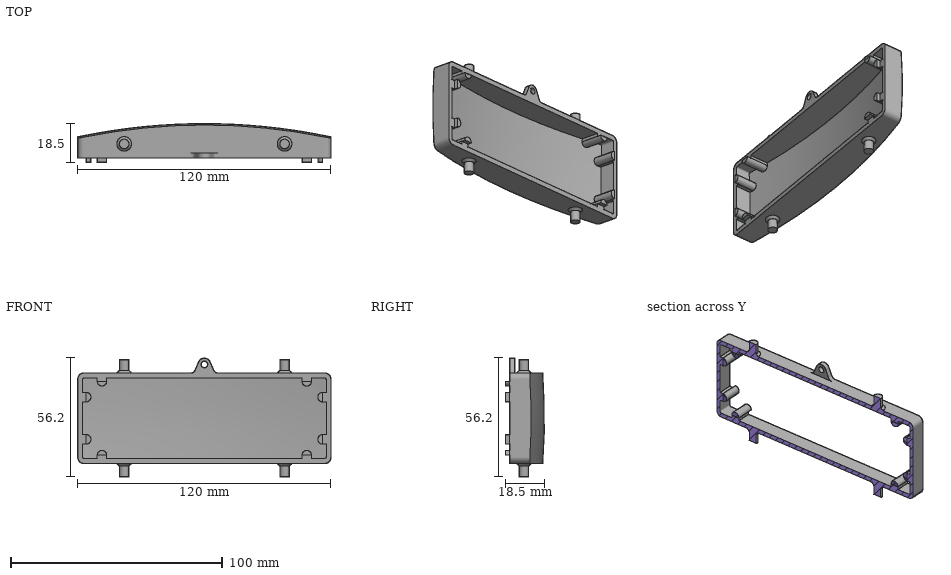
import cadquery as cq
import math

LENGTH = 120.0
HEIGHT = 43.0
DEPTH = 16.5
CORNER_RADIUS = 3.0
DOME_RADIUS = 288.0
DOME_CENTRE_Y = DEPTH - DOME_RADIUS

END_WALL = 2.25
SIDE_WALL = 2.5
BACK_WALL = 2.4
CAVITY_LENGTH = LENGTH - 2 * END_WALL
CAVITY_HEIGHT = HEIGHT - 2 * SIDE_WALL
CAVITY_CORNER_RADIUS = CORNER_RADIUS - END_WALL

POST_RADIUS = 2.25
POST_PROTRUSION = 2.0
END_PAD = 1.75
SIDE_PAD = 1.5
END_POST_Z = 10.0
SIDE_POST_X = 48.5

ROOT_DEPTH = SIDE_WALL / 2

PEG_DIAMETER = 4.52
PEG_LENGTH = 6.24
PEG_FLARE = 1.2
PEG_X = 38.0
PEG_Y = 6.75

LUG_THICKNESS = 2.5
LUG_RADIUS = 3.0
LUG_HOLE_DIAMETER = 3.0
LUG_HOLE_RISE = 4.0
LUG_HALF_BASE = 5.0
LUG_ROOT_FILLET = 2.0


def domed_block(length, height, corner_radius, dome_radius, front_y=0.0):
    """Rounded rectangular block from the plane Y = front_y back to the spherical dome."""
    block = (
        cq.Workplane("XZ", origin=(0, front_y, 0))
        .rect(length, height)
        .extrude(front_y - DEPTH)
        .edges("|Y")
        .fillet(corner_radius)
    )
    dome = cq.Workplane("XY").sphere(dome_radius).translate((0, DOME_CENTRE_Y, 0))
    return block.intersect(dome)


def cavity_block(front_y=0.0):
    """Inside space of the cover, concentric with the domed back."""
    inner_radius = DOME_RADIUS - BACK_WALL
    return domed_block(CAVITY_LENGTH, CAVITY_HEIGHT, CAVITY_CORNER_RADIUS, inner_radius, front_y)


def post_places():
    """Chord centre (x, z), inward direction in degrees and pad depth of every post."""
    end_x = CAVITY_LENGTH / 2 - END_PAD
    side_z = CAVITY_HEIGHT / 2 - SIDE_PAD
    places = []
    for wall_side in (-1, 1):
        for half in (-1, 1):
            places.append((wall_side * end_x, half * END_POST_Z, 90 + 90 * wall_side, END_PAD))
            places.append((half * SIDE_POST_X, wall_side * side_z, -90 * wall_side, SIDE_PAD))
    return places


def place_on_wall(solid, x, z, direction):
    """Turn a solid whose inward side is +X to the given direction and move it to (x, z)."""
    return solid.rotate((0, 0, 0), (0, 1, 0), -direction).translate((x, 0, z))


def make_pad(x, z, direction, pad_depth, cavity):
    """Flat pad between the cavity wall and a post, flush with the rim."""
    pad = (
        cq.Workplane("XZ")
        .center(-pad_depth / 2, 0)
        .rect(pad_depth, 2 * POST_RADIUS)
        .extrude(-DEPTH)
    )
    return place_on_wall(pad, x, z, direction).intersect(cavity)


def make_post(x, z, direction, post_space):
    """Half-round post from the domed floor to beyond the rim."""
    post = (
        cq.Workplane("XZ", origin=(0, -POST_PROTRUSION, 0))
        .moveTo(0, -POST_RADIUS)
        .threePointArc((POST_RADIUS, 0), (0, POST_RADIUS))
        .close()
        .extrude(-POST_PROTRUSION - DEPTH)
    )
    return place_on_wall(post, x, z, direction).intersect(post_space)


def make_peg(x, side):
    """Round peg with a flared foot on the upper (side = 1) or lower (side = -1) long side."""
    radius = PEG_DIAMETER / 2
    foot_radius = radius + PEG_FLARE
    half_profile = (
        cq.Workplane("XZ")
        .polyline(
            [
                (0, -ROOT_DEPTH),
                (foot_radius, -ROOT_DEPTH),
                (foot_radius, 0),
                (radius, PEG_FLARE),
                (radius, PEG_LENGTH),
                (0, PEG_LENGTH),
            ]
        )
        .close()
    )
    peg = half_profile.revolve(360, (0, 0, 0), (0, 1, 0))
    if side < 0:
        peg = peg.mirror("XY")
    return peg.translate((x, PEG_Y, side * HEIGHT / 2))


def make_lug():
    """Tapered lug with a round head, filleted into the upper side."""
    base_z = HEIGHT / 2
    root_z = base_z - ROOT_DEPTH
    hole_z = base_z + LUG_HOLE_RISE

    reach = math.hypot(LUG_HALF_BASE, LUG_HOLE_RISE)
    tangent_angle = math.acos(LUG_RADIUS / reach) - math.atan2(LUG_HOLE_RISE, LUG_HALF_BASE)
    tangent_x = LUG_RADIUS * math.cos(tangent_angle)
    tangent_z = hole_z + LUG_RADIUS * math.sin(tangent_angle)

    fillet_reach = LUG_ROOT_FILLET * math.tan((math.pi / 2 - tangent_angle) / 2)
    foot_x = LUG_HALF_BASE + fillet_reach
    flank_x = LUG_HALF_BASE - fillet_reach * math.sin(tangent_angle)
    flank_z = base_z + fillet_reach * math.cos(tangent_angle)
    middle_angle = tangent_angle / 2 - 3 * math.pi / 4
    middle_x = foot_x + LUG_ROOT_FILLET * math.cos(middle_angle)
    middle_z = base_z + LUG_ROOT_FILLET + LUG_ROOT_FILLET * math.sin(middle_angle)

    lug = (
        cq.Workplane("XZ")
        .moveTo(-foot_x, root_z)
        .lineTo(foot_x, root_z)
        .lineTo(foot_x, base_z)
        .threePointArc((middle_x, middle_z), (flank_x, flank_z))
        .lineTo(tangent_x, tangent_z)
        .threePointArc((0, hole_z + LUG_RADIUS), (-tangent_x, tangent_z))
        .lineTo(-flank_x, flank_z)
        .threePointArc((-middle_x, middle_z), (-foot_x, base_z))
        .close()
        .extrude(-LUG_THICKNESS)
    )
    hole = (
        cq.Workplane("XZ")
        .center(0, hole_z)
        .circle(LUG_HOLE_DIAMETER / 2)
        .extrude(-LUG_THICKNESS)
    )
    return lug.cut(hole)


def make_cover(cavity):
    """Domed cover with its post pads, pegs and hanging lug."""
    cover = domed_block(LENGTH, HEIGHT, CORNER_RADIUS, DOME_RADIUS).cut(cavity)
    for x, z, direction, pad_depth in post_places():
        cover = cover.union(make_pad(x, z, direction, pad_depth, cavity))
    for x in (-PEG_X, PEG_X):
        for side in (-1, 1):
            cover = cover.union(make_peg(x, side))
    return cover.union(make_lug())


cavity = cavity_block()
post_space = cavity_block(-POST_PROTRUSION)
cover = make_cover(cavity)
posts = [make_post(x, z, direction, post_space) for x, z, direction, _ in post_places()]

result = cq.Compound.makeCompound([cover.val(), *[post.val() for post in posts]])